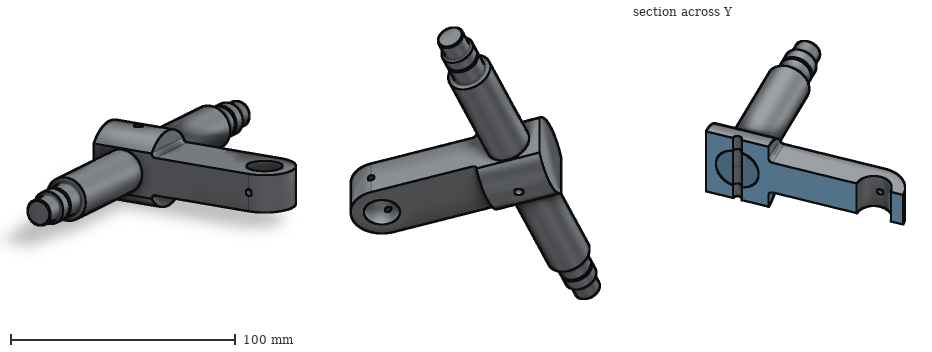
import cadquery as cq
import math

head_diameter = 35.0
head_length = 30.0
body_width = 28.0

arm_thickness = 17.5
overall_length = 94.0
eye_hole_diameter = 16.0
eye_cross_hole_diameter = 3.0
root_fillet = 2.0

shaft_length = 176.0
shaft_diameter = 20.0
journal_diameter = 15.0
tip_diameter = 12.0
tip_length = 9.0
tip_chamfer = 0.44
corner_fillet = 0.4
journal_length = 15.5
groove_offset = 6.2
groove_width = 1.0
groove_depth = 0.5

oil_hole_diameter = 4.0

shaft_radius = shaft_diameter / 2
journal_radius = journal_diameter / 2
tip_radius = tip_diameter / 2
shaft_x = head_length / 2
eye_x = overall_length - body_width / 2
half_shaft = shaft_length / 2
journal_end = half_shaft - tip_length
shoulder = journal_end - journal_length
groove_centre = journal_end - groove_offset


def oil_hole():
    """Vertical drill that crosses the head and the shaft."""
    return cq.Workplane("XY").center(shaft_x, 0).circle(oil_hole_diameter / 2).extrude(head_diameter, both=True)


def make_head():
    bar = cq.Workplane("YZ").circle(head_diameter / 2).extrude(head_length)
    flats = cq.Workplane("XY").box(
        head_length, body_width, head_diameter, centered=(False, True, True)
    )
    return bar.intersect(flats)


def make_arm():
    blade = cq.Workplane("XY").box(eye_x, body_width, arm_thickness, centered=(False, True, True))
    eye = cq.Workplane("XY").center(eye_x, 0).circle(body_width / 2).extrude(arm_thickness / 2, both=True)
    return blade.union(eye)


def root_fillet_strip(side):
    """Concave strip between the head face and the arm; side is +1 above and -1 below."""
    surface = side * arm_thickness / 2
    bend = root_fillet * (1 - math.cos(math.pi / 4))
    return (
        cq.Workplane("XZ")
        .moveTo(head_length, surface)
        .lineTo(head_length + root_fillet, surface)
        .threePointArc(
            (head_length + bend, surface + side * bend),
            (head_length, surface + side * root_fillet),
        )
        .close()
        .extrude(body_width / 2, both=True)
    )


def make_lever():
    lever = make_head().union(make_arm())
    for side in (1, -1):
        lever = lever.union(root_fillet_strip(side))
    shaft_bore = cq.Workplane("XZ").center(shaft_x, 0).circle(shaft_radius).extrude(body_width, both=True)
    eye_hole = (
        cq.Workplane("XY").center(eye_x, 0).circle(eye_hole_diameter / 2).extrude(arm_thickness, both=True)
    )
    cross_hole = (
        cq.Workplane("XZ").center(eye_x, 0).circle(eye_cross_hole_diameter / 2).extrude(body_width, both=True)
    )
    return lever.cut(shaft_bore).cut(eye_hole).cut(cross_hole).cut(oil_hole())


def make_shaft():
    """Turned shaft: one stepped half from the middle outwards, mirrored to the other side."""
    half = (
        cq.Workplane("XY")
        .lineTo(shaft_radius, 0)
        .lineTo(shaft_radius, shoulder)
        .lineTo(journal_radius + corner_fillet, shoulder)
        .radiusArc((journal_radius, shoulder + corner_fillet), corner_fillet)
        .lineTo(journal_radius, groove_centre - groove_width / 2)
        .lineTo(journal_radius - groove_depth, groove_centre)
        .lineTo(journal_radius, groove_centre + groove_width / 2)
        .lineTo(journal_radius, journal_end)
        .lineTo(tip_radius + corner_fillet, journal_end)
        .radiusArc((tip_radius, journal_end + corner_fillet), corner_fillet)
        .lineTo(tip_radius, half_shaft - tip_chamfer)
        .lineTo(tip_radius - tip_chamfer, half_shaft)
        .lineTo(0, half_shaft)
        .close()
        .revolve(360, (0, 0, 0), (0, 1, 0))
    )
    shaft = half.union(half.mirror("XZ")).translate((shaft_x, 0, 0))
    return shaft.cut(oil_hole())


lever = make_lever()
shaft = make_shaft()

result = cq.Compound.makeCompound([lever.val(), shaft.val()])